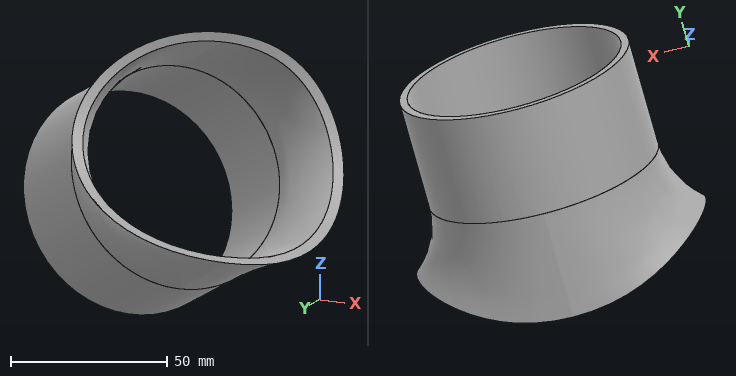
import cadquery as cq
import math


tube_diameter = 76.1
bore_diameter = 70.9
main_pipe_diameter = 114.3
overall_width = 96.0
bore_mouth_width = 88.3
overall_length = 72.5
section_step = 10
straight_tolerance = 9.6e-07

tube_radius = tube_diameter / 2
bore_radius = bore_diameter / 2
main_pipe_radius = main_pipe_diameter / 2
outer_flare = overall_width / 2 - tube_radius
inner_flare = bore_mouth_width / 2 - bore_radius
mouth_tip_y = math.sqrt(main_pipe_radius**2 - tube_radius**2)
tube_length = overall_length / 2
flare_start_y = mouth_tip_y + overall_length - tube_length


def flare_profile(radius, side_flare, angle):
    """Start, middle and end, as (radial, y), of an arc that leaves the tube
    parallel to its axis and ends on the main pipe."""
    spread = side_flare * math.cos(angle) ** 2
    rim_radius = radius + spread
    rim_y = math.sqrt(main_pipe_radius**2 - (rim_radius * math.sin(angle)) ** 2)
    depth = flare_start_y - rim_y
    half_turn = math.atan2(spread, depth)
    quarter_turn = half_turn / 2
    half_chord = math.hypot(spread, depth) / 2 / math.cos(quarter_turn)
    middle = (
        radius + half_chord * math.sin(quarter_turn),
        flare_start_y - half_chord * math.cos(quarter_turn),
    )
    return (radius, flare_start_y), middle, (rim_radius, rim_y)


def flare_section(angle):
    """Closed wall cross-section in the axial plane at an angle from +X."""

    def place(point):
        radial, y = point
        return cq.Vector(radial * math.cos(angle), y, radial * math.sin(angle))

    def profile_edge(start, middle, end):
        if abs(end[0] - start[0]) < straight_tolerance:
            return cq.Edge.makeLine(place(start), place(end))
        return cq.Edge.makeThreePointArc(place(start), place(middle), place(end))

    outer = flare_profile(tube_radius, outer_flare, angle)
    inner = flare_profile(bore_radius, inner_flare, angle)
    return cq.Wire.assembleEdges(
        [
            profile_edge(*outer),
            cq.Edge.makeLine(place(outer[-1]), place(inner[-1])),
            profile_edge(*reversed(inner)),
            cq.Edge.makeLine(place(inner[0]), place(outer[0])),
        ]
    )


def make_tube():
    """Straight tube from the start of the flare to the plain end."""
    return (
        cq.Workplane("XZ", origin=(0, flare_start_y, 0))
        .circle(tube_radius)
        .circle(bore_radius)
        .extrude(-tube_length)
    )


def make_flare():
    """Flared mouth: the +X half is lofted around the axis and mirrored."""
    angles = range(-90, 91, section_step)
    sections = [flare_section(math.radians(angle)) for angle in angles]
    half = cq.Workplane(cq.Solid.makeLoft(sections))
    return half.union(half.mirror("YZ"))


result = make_tube().union(make_flare())